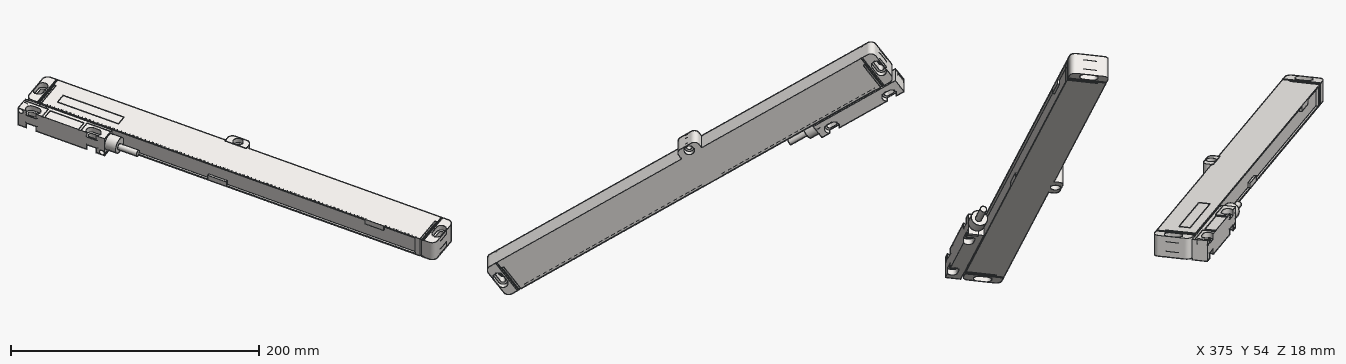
import cadquery as cq

LENGTH = 375.0
WIDTH = 54.0
HEIGHT = 18.0

HOUSING_FRONT = 14.0
HOUSING_BACK = 45.8
HOUSING_MIDDLE = (HOUSING_FRONT + HOUSING_BACK) / 2
CORNER_RADIUS = 5.0

RECESS_END_GAP = 18.0
RECESS_DEPTH = 2.0
LIP_THICKNESS = 0.95

BLOCK_LENGTH = 17.2
BLOCK_HEIGHT = 5.0
UPPER_BLOCK_CENTER = 319.5

SEAM_DEPTH = 0.5
CAP_SEAM_START = 10.0
CAP_SEAM_WIDTH = 1.0
SEAL_SEAM_START = 12.0
SEAL_SEAM_WIDTH = 1.5
SEAL_SEAM_BACK = 39.0

LABEL_LEFT = 24.5
LABEL_RIGHT = 80.2
LABEL_FRONT = 21.8
LABEL_BACK = 31.0
LABEL_DEPTH = 0.5

TAB_CENTER = 175.0
TAB_LENGTH = 19.5
TAB_X = (TAB_CENTER - TAB_LENGTH / 2, TAB_CENTER + TAB_LENGTH / 2)
TAB_CORNER_RADIUS = 4.5
TAB_HOLE_Y = 49.0
TAB_SEAT = 1.0
TAB_DROP = 0.5

HOLE_RADIUS = 2.2
COUNTERBORE_RADIUS = 4.0
COUNTERBORE_DEPTH = 5.0
CAP_SLOT_OFFSET = 4.5
CAP_SLOT_TRAVEL = 6.8
HEAD_SLOT_TRAVEL = 4.5
HEAD_SLOT_Y = 3.55
HEAD_SLOT_CENTERS = (12.0, 67.5)

HEAD_LENGTH = 79.5
HEAD_BACK = 12.8
HEAD_LEDGE_FRONT = 10.5
HEAD_MIDDLE_LEDGE_FRONT = 9.5
HEAD_LEDGE_DEPTH = 0.5
GROOVE_WIDTH = 2.2
GROOVE_STARTS = (22.0, 55.5)

CORNER_HOLE_RADIUS = 2.2
CORNER_HOLE_INSET = 2.45
CORNER_HOLE_DEPTH = 8.5

OUTLET_RADIUS = 6.8
OUTLET_LENGTH = 10.0
OUTLET_Z = 10.0
CABLE_RADIUS = 2.5
CABLE_LENGTH = 17.2
CABLE_Y = 6.0
CABLE_Z = 9.5


def box(x_range, y_range, z_range):
    """Box spanning the three given (low, high) ranges."""
    size = [high - low for low, high in (x_range, y_range, z_range)]
    corner = (x_range[0], y_range[0], z_range[0])
    return cq.Workplane("XY").box(*size, centered=False).translate(corner)


def slot_prism(x, y, radius, travel, angle, bottom, top):
    """Upright prism with a slot outline, or a cylinder when the travel is zero."""
    plane = cq.Workplane("XY").workplane(offset=bottom).center(x, y)
    if travel > 0:
        outline = plane.slot2D(travel + 2 * radius, 2 * radius, angle)
    else:
        outline = plane.circle(radius)
    return outline.extrude(top - bottom)


def mounting_hole(x, y, travel=0.0, angle=0.0):
    """Through hole or slot, counterbored from the top and the bottom."""
    hole = slot_prism(x, y, HOLE_RADIUS, travel, angle, 0, HEIGHT)
    for bottom, top in ((0, COUNTERBORE_DEPTH), (HEIGHT - COUNTERBORE_DEPTH, HEIGHT)):
        hole = hole.union(slot_prism(x, y, COUNTERBORE_RADIUS, travel, angle, bottom, top))
    return hole


def mounting_tab():
    """Rear tab with two rounded outer corners."""
    tab = box(TAB_X, (HOUSING_BACK - TAB_SEAT, WIDTH), (0, HEIGHT - TAB_DROP))
    return tab.edges("|Z and >Y").fillet(TAB_CORNER_RADIUS)


def front_recess():
    """Long front recess without the two blocks that stay in it."""
    recess_y = (HOUSING_FRONT, HOUSING_FRONT + RECESS_DEPTH)
    recess_z = (LIP_THICKNESS, HEIGHT - LIP_THICKNESS)
    recess = box((RECESS_END_GAP, LENGTH - RECESS_END_GAP), recess_y, recess_z)
    block_places = (
        (TAB_CENTER, (0, BLOCK_HEIGHT)),
        (UPPER_BLOCK_CENTER, (HEIGHT - BLOCK_HEIGHT, HEIGHT)),
    )
    for center, block_z in block_places:
        recess = recess.cut(box((center - BLOCK_LENGTH / 2, center + BLOCK_LENGTH / 2), recess_y, block_z))
    return recess


def seam_cutter(start, width, core_front, back):
    """Thin cutter for the top and bottom faces, and for the front when the core starts behind it."""
    seam_x = (start, start + width)
    seam = box(seam_x, (HOUSING_FRONT, back), (0, HEIGHT))
    return seam.cut(box(seam_x, (core_front, back), (SEAM_DEPTH, HEIGHT - SEAM_DEPTH)))


def cut_end_seams(body):
    """Cut the cap seam and the seal seam at both ends of the housing."""
    cap_seam = seam_cutter(CAP_SEAM_START, CAP_SEAM_WIDTH, HOUSING_FRONT, HOUSING_BACK)
    seal_seam = seam_cutter(SEAL_SEAM_START, SEAL_SEAM_WIDTH, HOUSING_FRONT + SEAM_DEPTH, SEAL_SEAM_BACK)
    for seam in (cap_seam, seal_seam):
        body = body.cut(seam)
        body = body.cut(seam.mirror("YZ", (LENGTH / 2, 0, 0)))
    return body


def make_housing():
    """Long scale housing with end caps, front recess and rear mounting tab."""
    body = box((0, LENGTH), (HOUSING_FRONT, HOUSING_BACK), (0, HEIGHT))
    body = body.edges("|Z").fillet(CORNER_RADIUS)
    body = body.cut(front_recess())
    body = cut_end_seams(body)
    body = body.cut(box(TAB_X, (HOUSING_BACK - TAB_SEAT, HOUSING_BACK), (0, HEIGHT)))
    body = body.union(mounting_tab())
    label_z = (HEIGHT - LABEL_DEPTH, HEIGHT)
    body = body.cut(box((LABEL_LEFT, LABEL_RIGHT), (LABEL_FRONT, LABEL_BACK), label_z))
    for x in (CAP_SLOT_OFFSET, LENGTH - CAP_SLOT_OFFSET):
        body = body.cut(mounting_hole(x, HOUSING_MIDDLE, CAP_SLOT_TRAVEL, 90))
    return body.cut(mounting_hole(TAB_CENTER, TAB_HOLE_Y))


def cut_head_top(head):
    """Cut the rear ledge, its wider middle part and the two cross grooves."""
    cut_z = (HEIGHT - HEAD_LEDGE_DEPTH, HEIGHT)
    head = head.cut(box((0, HEAD_LENGTH), (HEAD_LEDGE_FRONT, HEAD_BACK), cut_z))
    middle_x = (GROOVE_STARTS[0] + GROOVE_WIDTH, GROOVE_STARTS[1])
    head = head.cut(box(middle_x, (HEAD_MIDDLE_LEDGE_FRONT, HEAD_BACK), cut_z))
    for start in GROOVE_STARTS:
        head = head.cut(box((start, start + GROOVE_WIDTH), (0, HEAD_LEDGE_FRONT), cut_z))
    return head


def corner_hole(x, z):
    """Blind hole drilled from the front face of the head."""
    return cq.Workplane("XZ").center(x, z).circle(CORNER_HOLE_RADIUS).extrude(-CORNER_HOLE_DEPTH)


def rod(y, z, radius, length, start):
    """Cylinder along X."""
    return cq.Workplane("YZ").workplane(offset=start).center(y, z).circle(radius).extrude(length)


def make_head():
    """Reading head with its mounting slots, cable outlet and cable stub."""
    head = box((0, HEAD_LENGTH), (0, HEAD_BACK), (0, HEIGHT))
    head = cut_head_top(head)
    for x in HEAD_SLOT_CENTERS:
        head = head.cut(mounting_hole(x, HEAD_SLOT_Y, HEAD_SLOT_TRAVEL))
    head = head.cut(corner_hole(CORNER_HOLE_INSET, HEIGHT - CORNER_HOLE_INSET))
    head = head.cut(corner_hole(HEAD_LENGTH - CORNER_HOLE_INSET, CORNER_HOLE_INSET))
    head = head.union(rod(OUTLET_RADIUS, OUTLET_Z, OUTLET_RADIUS, OUTLET_LENGTH, HEAD_LENGTH))
    return head.union(rod(CABLE_Y, CABLE_Z, CABLE_RADIUS, CABLE_LENGTH, HEAD_LENGTH + OUTLET_LENGTH))


housing = make_housing()
head = make_head()

result = cq.Compound.makeCompound([housing.val(), head.val()])